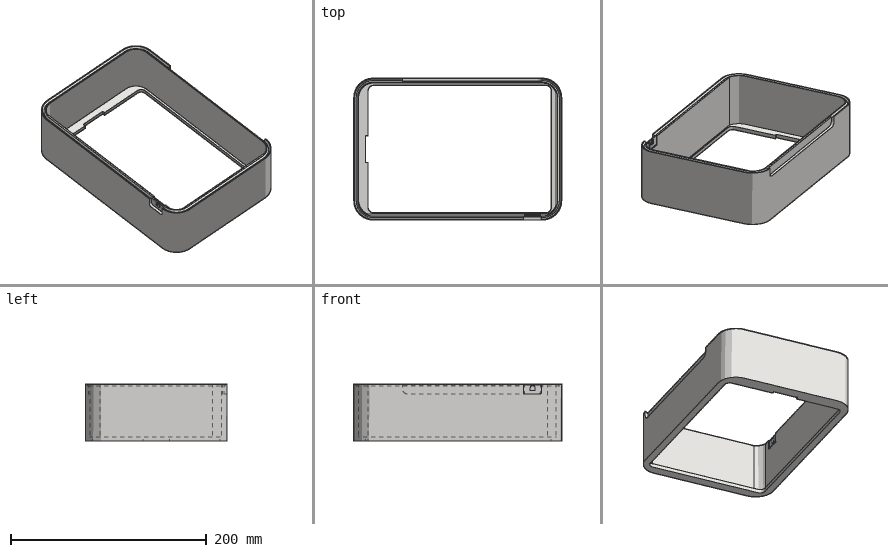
import cadquery as cq

length = 212.5
width = 145.0
height = 58.0
corner_radius = 20.0
wall = 5.0
floor_thickness = 4.0
front_wall = 6.0
right_wall = 5.85

opening_left = -91.5
opening_right = 95.5
opening_width = 130.0
opening_radius = 5.5
opening_notch_depth = 2.7
opening_notch_width = 27.0

groove_inset = 0.9
groove_depth = 1.6

front_recess_right = 85.75
back_recess_right = length / 2 - corner_radius
recess_thickness = 3.1
recess_height = 10.0
front_recess_length = 18.5
front_recess_middle = front_recess_right - front_recess_length / 2
front_recess_radius = 2.0
back_recess_length = 142.5
back_recess_radius = 5.0

inner_pocket_length = 16.5

arch_width = 5.0
arch_height = 5.0
arch_bottom = 51.6


def rounded_block(inset, z_low, z_high):
    """Solid that follows the outer outline, moved inwards by inset."""
    return (
        cq.Workplane("XY")
        .workplane(offset=z_low)
        .rect(length - 2 * inset, width - 2 * inset)
        .extrude(z_high - z_low)
        .edges("|Z")
        .fillet(corner_radius - inset)
    )


def make_shell():
    """Open box whose front and right walls are thicker than the other two."""
    outer = rounded_block(0, 0, height)
    cavity = rounded_block(wall, floor_thickness, height)
    thick_walls_limit = (
        cq.Workplane("XY")
        .box(length, width, height, centered=(True, True, False))
        .translate((-right_wall, front_wall, 0))
    )
    cavity = cavity.intersect(thick_walls_limit)
    return outer.cut(cavity)


def make_opening():
    opening_length = opening_right - opening_left
    middle = (opening_left + opening_right) / 2
    opening = (
        cq.Workplane("XY")
        .center(middle, 0)
        .rect(opening_length, opening_width)
        .extrude(floor_thickness)
        .edges("|Z")
        .fillet(opening_radius)
    )
    notch = (
        cq.Workplane("XY")
        .center(opening_left, 0)
        .rect(2 * opening_notch_depth, opening_notch_width)
        .extrude(floor_thickness)
    )
    return opening.union(notch)


def tapered_block(inset, taper):
    """Block at groove depth whose sides lean at 45 degrees up to the rim."""
    return (
        cq.Workplane("XY")
        .workplane(offset=height - groove_depth)
        .placeSketch(
            cq.Sketch()
            .rect(length - 2 * inset, width - 2 * inset)
            .vertices()
            .fillet(corner_radius - inset)
        )
        .extrude(groove_depth, taper=taper)
    )


def make_groove():
    bottom_inset = groove_inset + groove_depth
    return tapered_block(bottom_inset, -45).cut(tapered_block(bottom_inset, 45))


def make_recess(side, recess_right, recess_length, radius):
    """Rim recess in the wall on the given Y side (-1 front, 1 back)."""
    return (
        cq.Workplane("XY")
        .box(recess_length, recess_thickness, 2 * recess_height)
        .edges("|Y")
        .fillet(radius)
        .translate((
            recess_right - recess_length / 2,
            side * (width - recess_thickness) / 2,
            height,
        ))
    )


def make_inner_pocket():
    """Pocket as deep as the recess that removes the extra thickness of the front wall."""
    pocket_thickness = front_wall - wall
    return (
        cq.Workplane("XY")
        .box(inner_pocket_length, pocket_thickness, 2 * recess_height)
        .translate((front_recess_middle, pocket_thickness / 2 + wall - width / 2, height))
    )


def make_arch_hole():
    radius = arch_width / 2
    return (
        cq.Workplane("XZ", origin=(front_recess_middle, 0, arch_bottom))
        .moveTo(-radius, 0)
        .lineTo(radius, 0)
        .lineTo(radius, arch_height - radius)
        .threePointArc((0, arch_height), (-radius, arch_height - radius))
        .close()
        .extrude(width / 2)
    )


result = (
    make_shell()
    .cut(make_opening())
    .cut(make_groove())
    .cut(make_recess(-1, front_recess_right, front_recess_length, front_recess_radius))
    .cut(make_recess(1, back_recess_right, back_recess_length, back_recess_radius))
    .cut(make_inner_pocket())
    .cut(make_arch_hole())
)